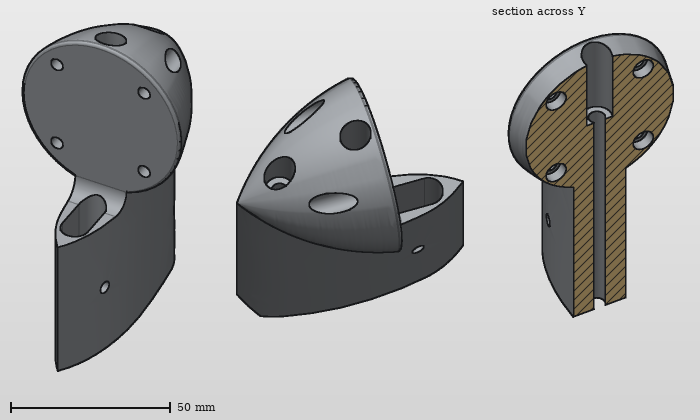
import cadquery as cq

total_height = 109.2

face_diameter = 56.6
face_radius = face_diameter / 2
axis_height = total_height - face_radius
rim_thickness = 1.3
rim_round = 1.0
nose_length = 45.9
nose_mid_radius = 19.9
nose_mid_depth = 23.7

post_front = -28.5
post_back = nose_length
post_half_width = 9.4
shoulder_half_width = 7.6
shoulder_inset = 17.2
front_edge_slope = 0.8
back_edge_slope = 1.2
shelf_height = 49.0
shelf_fillet = 5.9
heel_length = 6.3
heel_height = 11.1

screw_spacing = 31.0
screw_diameter = 4.3
screw_head_diameter = 7.0
screw_head_floor = 5.0
bolt_places = (6.9, 31.8)
bolt_diameter = 5.4
bolt_head_diameter = 9.7
bolt_head_floor = axis_height
slot_width = 9.2
slot_front = -21.6
slot_back = -1.3
pin_diameter = 4.0
pin_y = -11.4
pin_height = 24.4


def make_nose():
    """Revolve the ogive about Y and move it to the nose axis."""
    profile = (
        cq.Workplane("XY")
        .lineTo(face_radius - rim_round, 0)
        .radiusArc((face_radius, rim_round), -rim_round)
        .lineTo(face_radius, rim_thickness)
        .threePointArc((nose_mid_radius, nose_mid_depth), (0, nose_length))
        .close()
    )
    nose = profile.revolve(360, (0, 0, 0), (0, 1, 0))
    return nose.translate((0, 0, axis_height))


def make_post():
    """Extrude the streamlined section, then cut the shelf step and the sloped heel."""
    middle = (post_front + post_back) / 2
    front_shoulder = post_front + shoulder_inset
    back_shoulder = post_back - shoulder_inset
    right_side = [
        (0, post_front),
        (shoulder_half_width, front_shoulder),
        (post_half_width, middle),
        (shoulder_half_width, back_shoulder),
        (0, post_back),
    ]
    left_side = [(-x, y) for x, y in reversed(right_side)]
    post = (
        cq.Workplane("XY")
        .spline(right_side, tangents=[(front_edge_slope, 1), (-back_edge_slope, 1)])
        .spline(left_side, tangents=[(-back_edge_slope, -1), (front_edge_slope, -1)])
        .close()
        .extrude(axis_height)
    )
    side_outline = (
        cq.Workplane("YZ")
        .moveTo(post_front, 0)
        .lineTo(post_back - heel_length, 0)
        .lineTo(post_back, heel_height)
        .lineTo(post_back, axis_height)
        .lineTo(0, axis_height)
        .lineTo(0, shelf_height + shelf_fillet)
        .radiusArc((-shelf_fillet, shelf_height), shelf_fillet)
        .lineTo(post_front, shelf_height)
        .close()
        .extrude(face_radius, both=True)
    )
    return post.intersect(side_outline)


def along_y(x, z, diameter, start):
    """Cylinder running from Y = start to the nose tip plane."""
    cylinder = cq.Workplane("XZ").circle(diameter / 2).extrude(start - nose_length)
    return cylinder.translate((x, start, z))


def cut_face_screws(body):
    """Four screw holes through the face, with head bores from behind."""
    offset = screw_spacing / 2
    for x in (-offset, offset):
        for z in (axis_height - offset, axis_height + offset):
            body = body.cut(along_y(x, z, screw_diameter, 0))
            body = body.cut(along_y(x, z, screw_head_diameter, screw_head_floor))
    return body


def cut_bolts(body):
    """Two vertical bolt holes through nose and post, counterbored from the top."""
    points = [(0, y) for y in bolt_places]
    shafts = cq.Workplane("XY").pushPoints(points).circle(bolt_diameter / 2).extrude(total_height)
    heads = (
        cq.Workplane("XY", origin=(0, 0, bolt_head_floor))
        .pushPoints(points)
        .circle(bolt_head_diameter / 2)
        .extrude(face_radius)
    )
    return body.cut(shafts).cut(heads)


def cut_slot(body):
    """Vertical round-ended slot through the front of the post."""
    slot = (
        cq.Workplane("XY")
        .center(0, (slot_front + slot_back) / 2)
        .slot2D(slot_back - slot_front, slot_width, 90)
        .extrude(axis_height)
    )
    return body.cut(slot)


def cut_pin(body):
    """Cross hole through both walls of the slot."""
    pin = (
        cq.Workplane("YZ")
        .center(pin_y, pin_height)
        .circle(pin_diameter / 2)
        .extrude(post_half_width, both=True)
    )
    return body.cut(pin)


body = make_nose().union(make_post())
body = cut_face_screws(body)
body = cut_bolts(body)
body = cut_slot(body)
result = cut_pin(body)